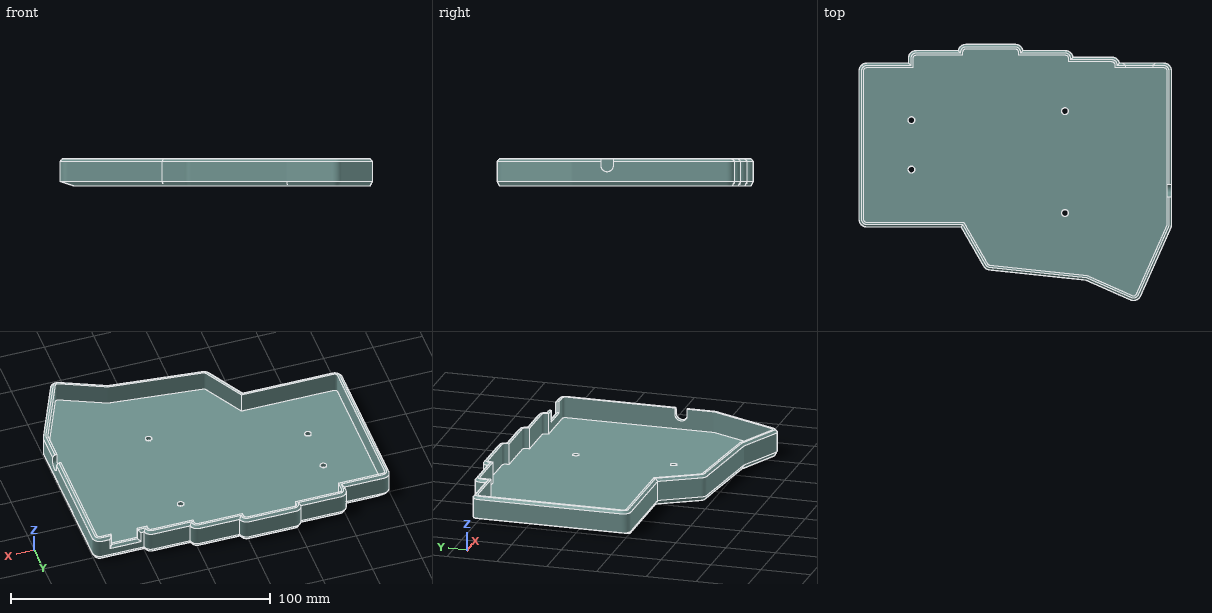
import math

import cadquery as cq

LENGTH = 120.3
WIDTH = 98.6
HEIGHT = 10.6

WALL = 1.8
FLOOR = 2.2
CORNER_RADIUS = 3.0
RIM_CHAMFER = 1.0
CHAMFER_ANGLE = 45
BASE_CHAMFER_RISE = 1.8
BASE_CHAMFER_INSET = 1.0
LEFT_BEVEL_RUN = 5.5

SIDE_TOP = 91.4
OUTER_STEP_TOP = 96.2
RIGHT_STEP_TOP = 93.7
STEP_EDGES = [19.0, 38.1, 63.2, 82.4, 100.3]
PALM_EDGE = 28.3
RIGHT_EDGE_END = 28.5

THUMB_START = (39.3, PALM_EDGE)
THUMB_LEFT = (48.7, 11.9)
THUMB_BEND = (87.3, 7.8)
THUMB_TIP = (107.2, -1.0)

HOLE_DIAMETER = 2.5
HOLE_CENTRES = [(20.2, 69.4), (20.2, 50.4), (79.3, 72.9), (79.3, 33.7)]

BACK_NOTCH_WIDTH = 10.6
BACK_NOTCH_CENTRE = 107.8
BACK_NOTCH_DEPTH = 4.7
CABLE_NOTCH_DIAMETER = 4.8
CABLE_NOTCH_CENTRE = 42.3
CABLE_NOTCH_DEPTH = 5.0


def sharp_outline():
    """Outer outline with every corner left sharp."""
    x1, x2, x3, x4, x5 = STEP_EDGES
    return cq.Workplane("XY").polyline([
        (0, PALM_EDGE),
        (0, SIDE_TOP),
        (x1, SIDE_TOP),
        (x1, OUTER_STEP_TOP),
        (x2, OUTER_STEP_TOP),
        (x2, WIDTH),
        (x3, WIDTH),
        (x3, OUTER_STEP_TOP),
        (x4, OUTER_STEP_TOP),
        (x4, RIGHT_STEP_TOP),
        (x5, RIGHT_STEP_TOP),
        (x5, SIDE_TOP),
        (LENGTH, SIDE_TOP),
        (LENGTH, RIGHT_EDGE_END),
        THUMB_TIP,
        THUMB_BEND,
        THUMB_LEFT,
        THUMB_START,
    ]).close()


def rounded_prism(inset, height, taper=0):
    """Prism inset from the outer wall, with convex corners round and concave corners sharp."""
    core = sharp_outline().offset2D(-CORNER_RADIUS, "intersection")
    return core.offset2D(CORNER_RADIUS - inset, "arc").extrude(height, taper=taper)


def chamfered_body():
    """Outer block with its rim chamfered and its base tapering inward."""
    base_taper = math.degrees(math.atan2(BASE_CHAMFER_INSET, BASE_CHAMFER_RISE))
    upper = rounded_prism(0, HEIGHT - BASE_CHAMFER_RISE).faces(">Z").chamfer(RIM_CHAMFER)
    base = rounded_prism(0, -BASE_CHAMFER_RISE, base_taper)
    return upper.union(base).translate((0, 0, BASE_CHAMFER_RISE))


def left_bevel():
    """Wedge that slopes the underside up to the left wall."""
    corners = [(0, 0), (0, BASE_CHAMFER_RISE), (LEFT_BEVEL_RUN, 0)]
    profile = cq.Workplane("XZ").polyline(corners).close()
    return profile.extrude(-WIDTH)


def screw_holes():
    return cq.Workplane("XY").pushPoints(HOLE_CENTRES).circle(HOLE_DIAMETER / 2).extrude(FLOOR)


def back_notch():
    """Rectangular opening through the back wall, open at the rim, its outer edge chamfered."""
    outer_face = cq.Workplane("XZ", origin=(BACK_NOTCH_CENTRE, SIDE_TOP, HEIGHT))
    opening = outer_face.rect(BACK_NOTCH_WIDTH, 2 * BACK_NOTCH_DEPTH).extrude(WALL)
    flare_width = BACK_NOTCH_WIDTH + 2 * RIM_CHAMFER
    flare_height = 2 * (BACK_NOTCH_DEPTH + RIM_CHAMFER)
    flare = outer_face.rect(flare_width, flare_height).extrude(RIM_CHAMFER, taper=CHAMFER_ANGLE)
    return opening.union(flare)


def cable_notch():
    """Round-bottomed opening through the right wall, open at the rim."""
    radius = CABLE_NOTCH_DIAMETER / 2
    arc_height = HEIGHT - CABLE_NOTCH_DEPTH + radius
    profile = (
        cq.Workplane("YZ", origin=(LENGTH - WALL, CABLE_NOTCH_CENTRE, 0))
        .moveTo(-radius, HEIGHT)
        .lineTo(-radius, arc_height)
        .threePointArc((0, arc_height - radius), (radius, arc_height))
        .lineTo(radius, HEIGHT)
        .close()
    )
    return profile.extrude(WALL)


cavity = rounded_prism(WALL, HEIGHT - FLOOR).translate((0, 0, FLOOR))
result = (
    chamfered_body()
    .cut(left_bevel())
    .cut(cavity)
    .cut(screw_holes())
    .cut(back_notch())
    .cut(cable_notch())
)